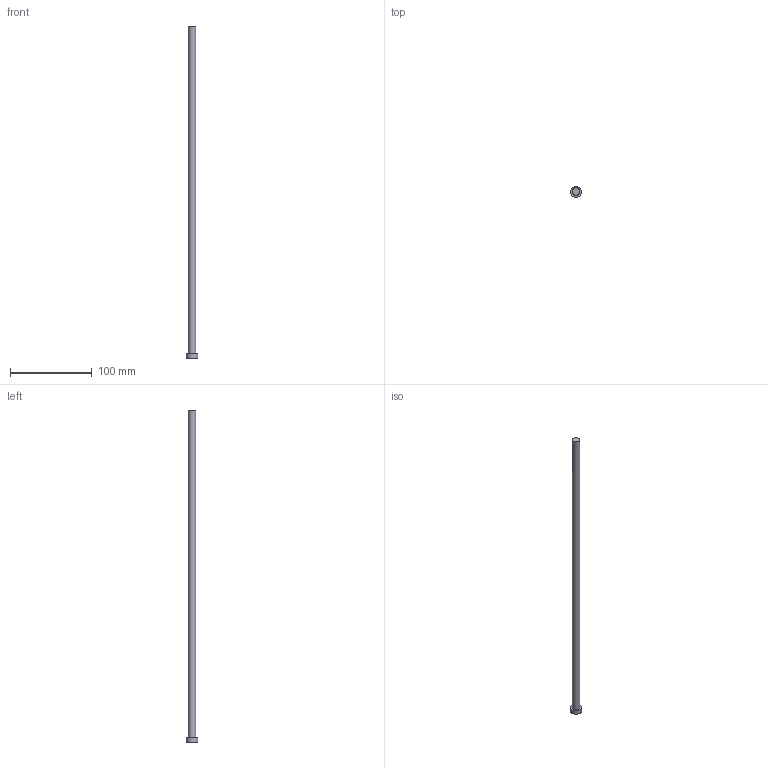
import cadquery as cq

TOTAL_LENGTH = 405.0
HEAD_DIAMETER = 14.0
HEAD_THICKNESS = 5.0
SHANK_DIAMETER = 9.0


def make_head():
    """Disc head, with its underside at the bottom of the pin."""
    return cq.Workplane("XY").circle(HEAD_DIAMETER / 2).extrude(HEAD_THICKNESS)


def make_shank():
    """Round shank running the full length, so that it fuses through the head."""
    return cq.Workplane("XY").circle(SHANK_DIAMETER / 2).extrude(TOTAL_LENGTH)


result = make_head().union(make_shank())